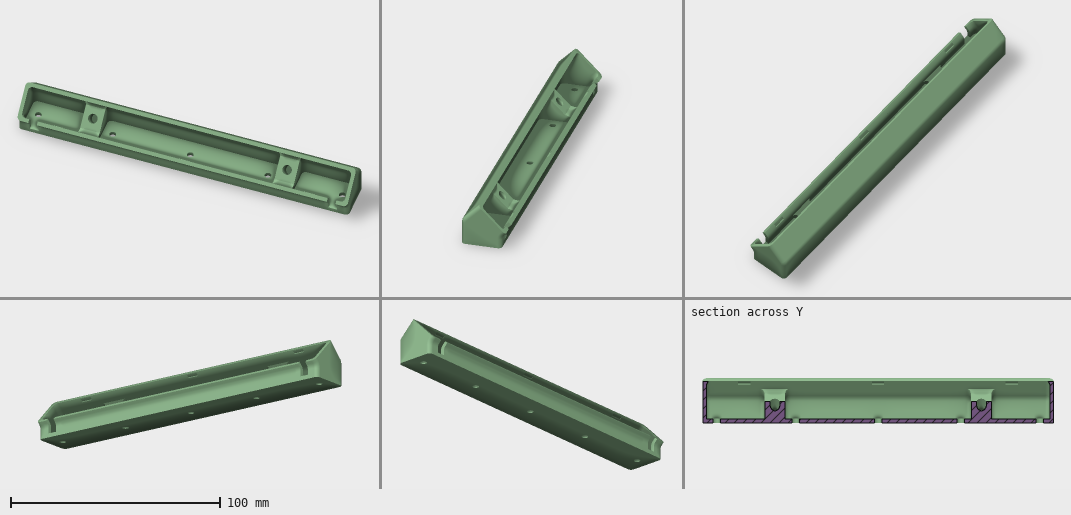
import cadquery as cq
import math

length = 168.0
height = 21.3
depth = 20.0
lip_reach = 2.0
back_height = 12.8
wall = 1.8
floor_thickness = 2.0
end_radius = 2.0
bend_radius = 3.0

boss_x = 49.4
boss_width = 9.9
boss_face_length = 11.6
boss_drop = 6.7
shoulder_slope = 35.0
shoulder_run = 4.2
boss_hole_diameter = 4.7
boss_hole_depth = 7.5

floor_hole_diameter = 3.2
floor_hole_xs = (-77.3, -39.5, 0.0, 39.5, 77.3)

slot_x = 76.0
slot_width = 4.4

groove_xs = (-64.0, 0.0, 64.0)
groove_length = 5.9
groove_start = 0.5
groove_bottom = 2.1
groove_end = 2.4
groove_depth = 0.5

diagonal = math.sqrt(0.5)
peak_y = depth - (height - back_height)
tip_z = height - (peak_y + lip_reach)
half_opening = (peak_y + lip_reach) * diagonal
cavity_half_opening = half_opening - wall
opening_centre_y = (peak_y - lip_reach) / 2
opening_centre_z = (height + tip_z) / 2

bend_shift = wall * math.tan(math.radians(22.5))
outer_front_bend = (0, tip_z - lip_reach)
outer_back_bend = (depth, back_height)
inner_front_bend = (wall, tip_z - lip_reach + bend_shift)
inner_back_bend = (depth - wall, back_height - bend_shift)

clearance = 1.7
tolerance = 0.02


def on_opening(along, below):
    """Y-Z point measured up the open face from its centre and square below that face."""
    y = opening_centre_y + (along + below) * diagonal
    z = opening_centre_z + (along - below) * diagonal
    return y, z


def prism(outline, x_start, x_end):
    """Extrude a Y-Z outline along X."""
    section = cq.Workplane("YZ", origin=(x_start, 0, 0)).polyline(outline).close()
    return section.extrude(x_end - x_start)


def bent_prism(outline, bends, x_start, x_end):
    """Prism with its front and back bends rounded."""
    block = prism(outline, x_start, x_end)
    for y, z in bends:
        low = (x_start - tolerance, y - tolerance, z - tolerance)
        high = (x_end + tolerance, y + tolerance, z + tolerance)
        bend_edge = cq.selectors.BoxSelector(low, high, True)
        block = block.edges(bend_edge).fillet(bend_radius)
    return block


def rounded_prism(outline, bends, x_start, x_end):
    """Bent prism whose end edges are rounded, except at its base and along its top slope."""
    block = bent_prism(outline, bends, x_start, x_end)
    base_z = min(z for y, z in outline)
    slope_rise = max(z - y for y, z in outline)
    end_edges = []
    for edge in block.faces("<X or >X").edges().vals():
        centre = edge.Center()
        above_base = centre.z > base_z + tolerance
        below_slope = centre.z - centre.y < slope_rise - tolerance
        if above_base and below_slope:
            end_edges.append(edge)
    return block.newObject(end_edges).fillet(end_radius)


body_outline = [
    (0, 0),
    (depth, 0),
    outer_back_bend,
    (peak_y, height),
    (-lip_reach, tip_z),
    outer_front_bend,
]

cavity_outline = [
    (wall, floor_thickness),
    (depth - wall, floor_thickness),
    inner_back_bend,
    on_opening(cavity_half_opening, -clearance),
    on_opening(-cavity_half_opening, -clearance),
    inner_front_bend,
]
cavity_bends = (inner_front_bend, inner_back_bend)


def boss_clearance(x):
    """Space over a boss: the cavity above the boss face and its two raised shoulders."""
    half_width = boss_width / 2 + end_radius
    half_face = boss_face_length / 2
    half_boss = half_face + shoulder_run
    shoulder_drop = boss_drop - shoulder_run * math.tan(math.radians(shoulder_slope))
    boss_outline = [
        on_opening(half_face, boss_drop),
        on_opening(-half_face, boss_drop),
        on_opening(-half_boss, shoulder_drop),
        on_opening(-half_boss, depth),
        on_opening(half_boss, depth),
        on_opening(half_boss, shoulder_drop),
    ]
    space = bent_prism(cavity_outline, cavity_bends, x - half_width, x + half_width)
    return space.cut(prism(boss_outline, x - half_width, x + half_width))


def boss_hole(x):
    """Blind hole square to the boss face."""
    y, z = on_opening(0, boss_drop)
    face = cq.Plane(origin=(x, y, z), xDir=(1, 0, 0), normal=(0, 1, -1))
    return cq.Workplane(face).circle(boss_hole_diameter / 2).extrude(boss_hole_depth)


def floor_hole(x):
    start = cq.Workplane("XY", origin=(x, depth / 2, -clearance))
    return start.circle(floor_hole_diameter / 2).extrude(floor_thickness + 2 * clearance)


def lip_slot(x):
    """Slot down to the floor through the lip and the front wall."""
    slot = cq.Workplane("XY").box(slot_width, lip_reach + wall, height, centered=(True, False, False))
    return slot.translate((x, -lip_reach, floor_thickness))


def snap_groove(x, side):
    """V-shaped groove across the inside of the roof (side 1) or of the lip (side -1)."""
    surface = side * cavity_half_opening
    groove_floor = side * (cavity_half_opening + groove_depth)
    open_air = side * (cavity_half_opening - groove_depth)
    section = [
        on_opening(open_air, groove_start),
        on_opening(surface, groove_start),
        on_opening(groove_floor, groove_bottom),
        on_opening(surface, groove_end),
        on_opening(open_air, groove_end),
    ]
    return prism(section, x - groove_length / 2, x + groove_length / 2)


half_length = length / 2
result = rounded_prism(body_outline, (outer_front_bend, outer_back_bend), -half_length, half_length)

end_wall_x = half_length - wall
boss_outer_x = boss_x + boss_width / 2
boss_inner_x = boss_x - boss_width / 2
pocket_spans = (
    (-end_wall_x, -boss_outer_x),
    (-boss_inner_x, boss_inner_x),
    (boss_outer_x, end_wall_x),
)
for x_start, x_end in pocket_spans:
    result = result.cut(rounded_prism(cavity_outline, cavity_bends, x_start, x_end))

for x in (-boss_x, boss_x):
    result = result.cut(boss_clearance(x)).cut(boss_hole(x))

for x in floor_hole_xs:
    result = result.cut(floor_hole(x))

for x in (-slot_x, slot_x):
    result = result.cut(lip_slot(x))

for x in groove_xs:
    for side in (-1, 1):
        result = result.cut(snap_groove(x, side))